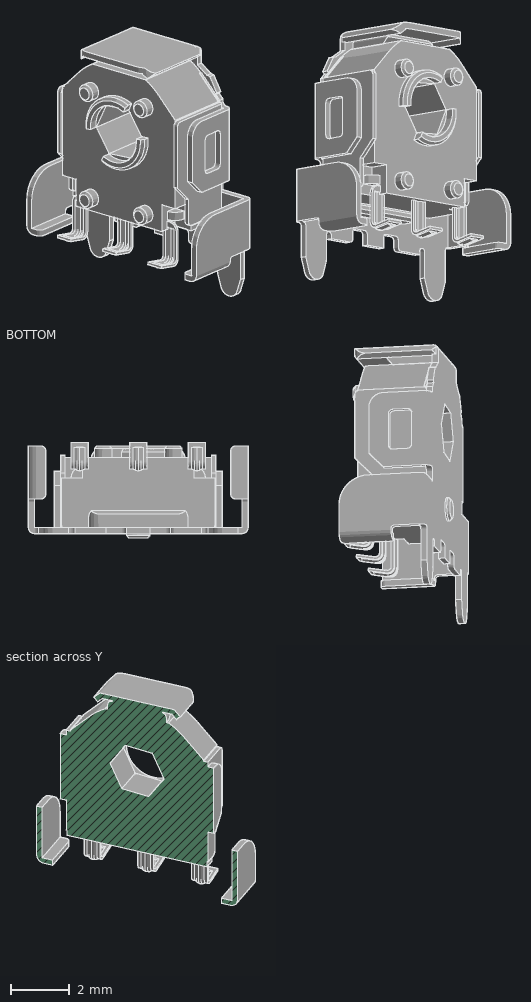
import cadquery as cq
import math


sheet = 0.22
bracket_half = 3.75
front_y = -3.0
height = 8.76
top_z = 2.77
shoulder_z = -2.28
flange_round = 1.0
foot_z = -4.49
flange_low_z = -4.08
foot_back_y = -1.18
foot_inner = 3.145
foot_bend = 0.28
foot_corner = 0.175
neck_half = 2.45

leg_x = 2.89
leg_half = 0.51
leg_taper_z = -5.27
leg_tip_half = 0.33
leg_round_z = -5.8
leg_tip_z = top_z - height
relief_round = 0.11

tab_inner, tab_outer = 0.4, 1.1
notch_z = -4.0
notch_round = 0.13

tower_half = 1.5
tower_base_z = 2.11
prong = [(1.93, 1.83), (2.05, 1.81), (2.36, 1.29), (2.28, 1.21)]
neck_top_z = 1.03
lid_half = 1.38
lip_drop = 0.24
lid_corner = 0.525
lid_back_corner = 0.21
lid_bend = 0.245
lip_bend = 0.09

cover_half = 2.645
cover_sheet = 0.16
cover_top_z, cover_bottom_z = 0.99, -2.98
cover_front_y = -2.68
cover_step_y = -2.08
cover_step_z = -1.38
cover_round = 0.175
cover_back = 0.08
cover_bend = 0.14
cover_shoulder_x = 1.68
cover_overlap = 0.02

ear_half = cover_half + sheet
ear_top_z, ear_bottom_z = 0.81, -1.8
ear_front_y = -2.14
ear_corner = 0.5
ear_bend = 0.245
ear_relief = 0.17
window_back_y, window_front_y = -0.65, -1.45
window_top_z, window_bottom_z = 0.2, -1.19
window_round = 0.15

body_half = cover_half - cover_sheet
body_face_y = -2.6
body_top_z, body_bottom_z = 2.19, -3.18
recess_x, recess_z, recess_y = 1.89, -2.2, -1.9
ledge_half = 2.61
elbow_top_z, elbow_bottom_z = -2.53, -2.83
elbow_radius = 0.39
pin_x = 1.2
pin_z = (1.21, -2.69)
pin_radius, pin_chamfer = 0.3, 0.09
rivet_z = pin_z[1]
rivet_radius, rivet_height, rivet_chamfer = 0.4, 0.15, 0.09

tongue_half, tongue_round = 1.1, 0.2
tongue_foot_y, tongue_front_y, tongue_top_y = -1.66, -1.875, -1.79
tongue_apex_z = 2.435
keel_half, keel_round = 1.69, 0.35
keel_back_y, keel_front_y, keel_low_y = -0.61, -0.79, -0.675
keel_lip_z, keel_apex_z, keel_bottom_z = -3.24, -3.425, -3.54

ring_outer, ring_inner = 1.3, 1.02
ring_front_y = -2.9
ring_chamfer = 0.105
hex_radius, hex_turn = 1.0, 4.3
ring_span = 120

pitch = 2.0
strip_half = 0.3
strip = 0.1
strip_y = -2.26
shoulder_top_z = -2.89
shoulder_round = 0.3
tip_y, tip_z = -3.11, -4.23
foot_angle = 10
strip_bend = 0.175
rib_half, rib_shoulder = 0.18, 0.09
rib_side_depth, rib_depth = 0.05, 0.07
rib_tip_gap = 0.175


def box(x, y, z):
    """Box from three (low, high) pairs."""
    size = (x[1] - x[0], y[1] - y[0], z[1] - z[0])
    return cq.Workplane("XY").box(*size, centered=False).translate((x[0], y[0], z[0]))


def both_sides(solid):
    """Add the mirror image across the YZ plane."""
    return solid.union(solid.mirror("YZ"))


def front_plane(y):
    """Sketch plane facing -Y, with local axes X and Z."""
    return cq.Workplane("XZ", origin=(0, y, 0))


def side_plane(x):
    """Sketch plane facing +X, with local axes Y and Z."""
    return cq.Workplane("YZ", origin=(x, 0, 0))


def back_plate():
    upper = [(0, top_z), (lid_half, top_z), (tower_half, top_z + lid_half - tower_half),
             (tower_half, tower_base_z), *prong, (neck_half, neck_top_z), (neck_half, shoulder_z),
             (0, shoulder_z)]
    plate = front_plane(0).polyline(upper).close().extrude(sheet)
    outer_x = leg_x + leg_half
    lower = (
        front_plane(0).moveTo(0, shoulder_z)
        .lineTo(bracket_half, shoulder_z)
        .lineTo(bracket_half, flange_low_z)
        .lineTo(outer_x + relief_round, flange_low_z)
        .radiusArc((outer_x, flange_low_z - relief_round), -relief_round)
        .lineTo(outer_x, leg_taper_z)
        .lineTo(leg_x + leg_tip_half, leg_round_z)
        .threePointArc((leg_x, leg_tip_z), (leg_x - leg_tip_half, leg_round_z))
        .lineTo(leg_x - leg_half, leg_taper_z)
        .lineTo(leg_x - leg_half, foot_z + relief_round)
        .radiusArc((leg_x - leg_half - 2 * relief_round, foot_z + relief_round), -relief_round)
        .lineTo(leg_x - leg_half - 2 * relief_round, foot_z)
        .lineTo(0, foot_z)
        .close().extrude(sheet)
    )
    notch = box((tab_inner, tab_outer), (-sheet, 0), (foot_z, notch_z))
    notch = notch.edges("|Y and >Z").fillet(notch_round)
    lower = lower.cut(notch)
    side_tab_corner = cq.selectors.NearestToPointSelector((tab_outer, -sheet / 2, foot_z))
    lower = lower.edges(side_tab_corner).fillet(notch_round)
    return both_sides(plate.union(lower))


def lower_flange():
    """Side flange with its foot tab, on the +X side."""
    inner_x = bracket_half - sheet
    profile = (
        side_plane(inner_x).moveTo(0, shoulder_z)
        .lineTo(front_y + flange_round, shoulder_z)
        .radiusArc((front_y, shoulder_z - flange_round), -flange_round)
        .lineTo(front_y, foot_z)
        .lineTo(foot_back_y, foot_z)
        .lineTo(foot_back_y, flange_low_z - relief_round)
        .radiusArc((foot_back_y + relief_round, flange_low_z), relief_round)
        .lineTo(0, flange_low_z)
        .close().extrude(sheet)
    )
    foot = box((foot_inner, bracket_half), (front_y, foot_back_y), (foot_z, foot_z + sheet))
    foot = foot.edges("|Z and <X").fillet(foot_corner)
    flange = profile.union(foot)
    return flange.edges("|Y and >X and <Z").fillet(foot_bend)


def ear():
    """Side ear with its window, on the +X side."""
    plate = box((cover_half, ear_half), (ear_front_y, 0), (ear_bottom_z, ear_top_z))
    plate = plate.edges("|X and <Y and >Z").fillet(ear_corner)
    plate = plate.edges("|X and <Y and <Z").chamfer(ear_corner)
    relief_x = neck_half + ear_relief
    web = (
        front_plane(0).moveTo(neck_half, ear_bottom_z - ear_relief)
        .radiusArc((relief_x, ear_bottom_z), ear_relief)
        .lineTo(ear_half, ear_bottom_z)
        .lineTo(ear_half, ear_top_z)
        .lineTo(relief_x, ear_top_z)
        .radiusArc((neck_half, ear_top_z + ear_relief), ear_relief)
        .close().extrude(sheet)
    )
    window = box((cover_half, ear_half), (window_front_y, window_back_y), (window_bottom_z, window_top_z))
    return plate.union(web).cut(window.edges("|X").fillet(window_round))


def lid():
    """Top lid whose two side lips slope down at 45 degrees."""
    end_x = lid_half + lip_drop
    end_z = top_z - lip_drop
    cut = sheet / math.sqrt(2)
    under_z = top_z - sheet
    inner_x = end_x - cut - (under_z - end_z + cut)
    right = [(lid_half, top_z), (end_x, end_z), (end_x - cut, end_z - cut), (inner_x, under_z)]
    left = [(-x, z) for x, z in reversed(right)]
    solid = front_plane(0).polyline(right + left).close().extrude(-front_y)
    for side in (-1, 1):
        crease = cq.selectors.NearestToPointSelector((side * lid_half, front_y / 2, top_z))
        solid = solid.edges(crease).fillet(lip_bend)
    corner_trim = box((-end_x, end_x), (front_y, 0), (end_z - cut, top_z))
    corner_trim = corner_trim.edges("|Z and <Y").fillet(lid_corner)
    corner_trim = corner_trim.edges("|Z and >Y").chamfer(lid_back_corner)
    return solid.intersect(corner_trim)


def bracket():
    sides = lower_flange().union(ear())
    frame = back_plate().union(both_sides(sides))
    flange_limits = box((-bracket_half, bracket_half), (front_y, 0), (leg_tip_z, shoulder_z))
    flange_limits = flange_limits.edges("|Z and >Y").fillet(sheet)
    ear_limits = box((-ear_half, ear_half), (front_y, 0), (shoulder_z, top_z))
    ear_limits = ear_limits.edges("|Z and >Y").fillet(ear_bend)
    lid_limits = box((-bracket_half, bracket_half), (front_y, 0), (leg_tip_z, top_z))
    lid_limits = lid_limits.edges("|X and >Y and >Z").fillet(lid_bend)
    frame = frame.intersect(flange_limits.union(ear_limits)).union(lid())
    return frame.intersect(lid_limits)


def cover():
    side = (
        side_plane(body_half)
        .polyline([(-sheet, cover_top_z), (cover_front_y, cover_top_z), (cover_front_y, cover_step_z),
                   (cover_step_y, cover_step_z + cover_front_y - cover_step_y),
                   (cover_step_y, cover_bottom_z), (-sheet, cover_bottom_z)])
        .close().extrude(cover_sheet)
    )
    side = side.edges("|X and <Y and >Z").fillet(cover_round)
    side = side.faces("<Z").edges("<Y").fillet(cover_round)
    side = side.edges("|Z and >X and >Y").fillet(cover_bend)
    slope_sum = (body_half + cover_overlap) * math.sqrt(2)
    back = (
        front_plane(-sheet)
        .polyline([(0, cover_bottom_z), (body_half, cover_bottom_z), (body_half, slope_sum - body_half),
                   (cover_shoulder_x, slope_sum - cover_shoulder_x), (0, slope_sum - cover_shoulder_x)])
        .close().extrude(cover_back)
    )
    return both_sides(side.union(back))


def housing():
    """Block whose shoulders are 45 degree flats running into a round about the rotor axis."""
    tangent = body_half / math.sqrt(2)
    corner_z = body_half * (math.sqrt(2) - 1)
    top_half = math.sqrt(body_half**2 - body_top_z**2)
    half = (
        front_plane(-sheet).moveTo(0, body_bottom_z)
        .lineTo(body_half, body_bottom_z)
        .lineTo(body_half, corner_z)
        .lineTo(tangent, tangent)
        .radiusArc((top_half, body_top_z), -body_half)
        .lineTo(0, body_top_z)
        .close().extrude(-body_face_y - sheet)
    )
    recess = box((recess_x, body_half), (body_face_y, recess_y), (body_bottom_z, recess_z))
    ledge = box((recess_x, ledge_half), (recess_y, -sheet), (body_bottom_z, cover_bottom_z))
    elbow = (
        cq.Workplane("XY", origin=(recess_x, recess_y, elbow_bottom_z))
        .circle(elbow_radius).extrude(elbow_top_z - elbow_bottom_z)
    )
    return both_sides(half.cut(recess).union(ledge).union(elbow))


def pins():
    points = [(side * pin_x, z) for side in (-1, 1) for z in pin_z]
    front = front_plane(body_face_y).pushPoints(points).circle(pin_radius)
    front = front.extrude(body_face_y - front_y).faces("<Y").chamfer(pin_chamfer)
    rivet = front_plane(0).center(0, rivet_z).circle(rivet_radius).extrude(-rivet_height)
    return front, rivet.faces(">Y").chamfer(rivet_chamfer)


def rounded_bar(half, profile, z_limits, corner_edges, corner_round):
    """Bar along X with the given Y-Z profile, its two end corners rounded about Y."""
    bar = side_plane(-half).polyline(profile).close().extrude(2 * half)
    depths = [y for y, z in profile]
    rounded = box((-half, half), (min(depths), max(depths)), z_limits)
    return bar.intersect(rounded.edges(corner_edges).fillet(corner_round))


def tongue():
    """Catch between the housing and the lid, undercut at its front."""
    top = top_z - sheet
    profile = [(-sheet, body_top_z), (tongue_foot_y, body_top_z), (tongue_front_y, tongue_apex_z),
               (tongue_top_y, top), (-sheet, top)]
    return rounded_bar(tongue_half, profile, (body_top_z, top), "|Y and >Z", tongue_round)


def keel():
    """Bar under the housing, with a wedge-shaped front."""
    profile = [(-sheet, body_bottom_z), (keel_back_y, body_bottom_z), (keel_back_y, keel_lip_z),
               (keel_front_y, keel_apex_z), (keel_low_y, keel_bottom_z), (-sheet, keel_bottom_z)]
    return rounded_bar(keel_half, profile, (keel_bottom_z, body_bottom_z), "|Y and <Z", keel_round)


def rotor_ring():
    """Two arc walls on the rotor face, ending in line with the hexagon's corners."""
    ring = front_plane(body_face_y).circle(ring_outer).extrude(body_face_y - ring_front_y)
    ring = ring.faces("<Y").edges().chamfer(ring_chamfer)
    ring = ring.cut(front_plane(body_face_y).circle(ring_inner).extrude(body_face_y - ring_front_y))
    walls = cq.Workplane("XY")
    reach = 2 * ring_outer
    for start in (hex_turn + ring_span / 2, hex_turn + ring_span / 2 + 180):
        corners = [(0, 0)]
        for step in (0, 0.5, 1):
            angle = math.radians(start + step * ring_span)
            corners.append((reach * math.cos(angle), reach * math.sin(angle)))
        sector = front_plane(body_face_y).polyline(corners).close().extrude(body_face_y - ring_front_y)
        walls = walls.add(ring.intersect(sector))
    return walls.combine()


def hexagon_bore():
    hexagon = cq.Workplane("XZ").transformed(rotate=(0, 0, hex_turn)).polygon(6, 2 * hex_radius)
    return hexagon.extrude(-body_face_y + sheet)


def terminal_path(x, start_z, end_y):
    """Centre line down the upright, round the bend and up the gently sloping foot."""
    slope = math.radians(foot_angle)
    setback = strip_bend * math.tan((math.pi / 2 + slope) / 2)
    corner_z = tip_z - (strip_y - tip_y) * math.tan(slope)
    foot_start = (strip_y - setback * math.cos(slope), corner_z + setback * math.sin(slope))
    end_z = corner_z + (strip_y - end_y) * math.tan(slope)
    return (
        side_plane(x).moveTo(strip_y, start_z)
        .lineTo(strip_y, corner_z + setback)
        .tangentArcPoint(foot_start, relative=False)
        .lineTo(end_y, end_z)
    )


def terminal(x, start_z, rib_start_z):
    """Strip with a pressed rib: a groove in front and above, a bead behind and below."""
    def section(z):
        return cq.Workplane("XY", origin=(x, strip_y, z))

    def rib(surface_y):
        shape = [(-rib_half, surface_y), (rib_half, surface_y), (rib_shoulder, surface_y + rib_side_depth),
                 (0, surface_y + rib_depth), (-rib_shoulder, surface_y + rib_side_depth)]
        path = terminal_path(x, rib_start_z, tip_y + rib_tip_gap)
        return section(rib_start_z).polyline(shape).close().sweep(path)

    blade = section(start_z).rect(2 * strip_half, strip).sweep(terminal_path(x, start_z, tip_y))
    return blade.union(rib(strip / 2)).cut(rib(-strip / 2))


def terminals():
    middle = terminal(0, body_bottom_z, body_bottom_z)
    side = terminal(pitch, shoulder_top_z, shoulder_top_z - sheet)
    outer = cq.selectors.NearestToPointSelector((pitch + strip_half, strip_y, shoulder_top_z))
    side = side.edges(outer).fillet(shoulder_round)
    return middle.union(both_sides(side))


result = bracket().union(cover()).union(housing())
for detail in (*pins(), tongue(), keel(), rotor_ring(), terminals()):
    result = result.union(detail)
result = result.cut(hexagon_bore())